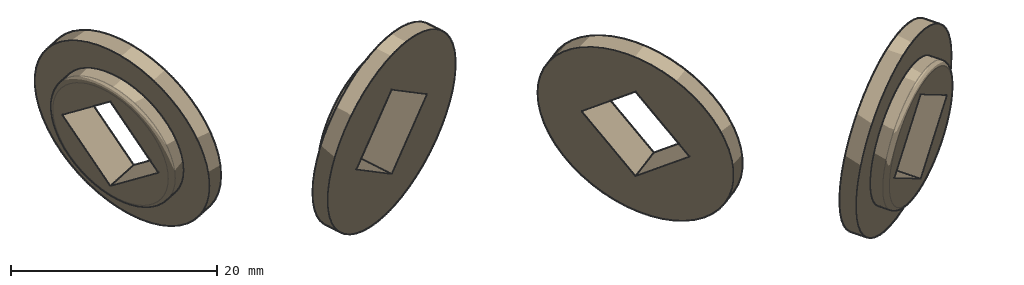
import cadquery as cq

flange_diameter = 21.92
boss_diameter = 15.43
total_thickness = 3.6
flange_thickness = total_thickness / 2
boss_edge_radius = 0.48
hole_diagonal = 12.05

back_y = total_thickness / 2
flange_front_y = back_y - flange_thickness
boss_height = total_thickness - flange_thickness


def axial_plane(y):
    """Plane at height y along the axis, with its normal toward -Y."""
    return cq.Workplane("XZ", origin=(0, y, 0))


flange = axial_plane(back_y).circle(flange_diameter / 2).extrude(flange_thickness)

boss = (
    axial_plane(flange_front_y)
    .circle(boss_diameter / 2)
    .extrude(boss_height)
    .faces("<Y")
    .edges()
    .fillet(boss_edge_radius)
)

square_hole = axial_plane(back_y).polygon(4, hole_diagonal).extrude(total_thickness)

result = flange.union(boss).cut(square_hole)